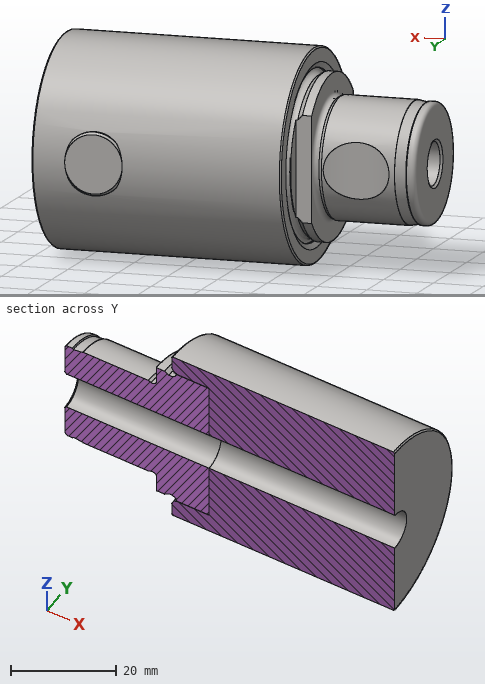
import cadquery as cq
import math

total_length = 74.0
through_hole_radius = 4.3
hole_chamfer = 0.45

housing_start = 24.0
housing_radius = 21.0
housing_edge_chamfer = 0.3
bore_mouth_widening = 1.1
bore_mouth_depth = 0.6
collar_radius = 16.9
collar_setback = 1.0
collar_length = 7.4

boss_x = 61.6
boss_radius = 6.2
boss_edge_chamfer = 0.45

tip_radius = 11.9
tip_fillet = 0.9
tip_land_end = 1.8
groove_radius = 11.7
groove_start = 2.0
groove_end = 2.2
taper_end = 4.15
taper_end_radius = 12.0
journal_radius = 12.05
journal_end = 18.8

relief_start = 19.4
relief_radius = 11.8
relief_fillet = 0.9

flange_start = 20.6
flange_radius = 16.35
flange_rim_end = 22.4
flange_cone_end = 23.4
neck_radius = 15.75
flat_end = 23.75
flat_distance = 12.6

scallop_x = 11.85
scallop_radius = 17.0
scallop_floor = 10.7

collar_start = housing_start + collar_setback
collar_end = collar_start + collar_length
neck_fillet = collar_radius - neck_radius

diagonal = math.sqrt(0.5)


def revolve_about_x(profile):
    """Close a profile of (X, radius) points and turn it about the X axis."""
    return profile.close().revolve(360, (0, 0, 0), (1, 0, 0))


def make_spindle_blank():
    relief_end = flange_start - relief_fillet
    profile = (
        cq.Workplane("XZ")
        .moveTo(0, through_hole_radius + hole_chamfer)
        .lineTo(0, tip_radius - tip_fillet)
        .threePointArc(
            (tip_fillet * (1 - diagonal), tip_radius - tip_fillet * (1 - diagonal)),
            (tip_fillet, tip_radius),
        )
        .lineTo(tip_land_end, tip_radius)
        .lineTo(groove_start, groove_radius)
        .lineTo(groove_end, groove_radius)
        .lineTo(taper_end, taper_end_radius)
        .lineTo(taper_end, journal_radius)
        .lineTo(journal_end, journal_radius)
        .lineTo(relief_start, relief_radius)
        .lineTo(relief_end, relief_radius)
        .threePointArc(
            (relief_end + relief_fillet * diagonal, relief_radius + relief_fillet * (1 - diagonal)),
            (flange_start, relief_radius + relief_fillet),
        )
        .lineTo(flange_start, flange_radius)
        .lineTo(flange_rim_end, flange_radius)
        .lineTo(flange_cone_end, neck_radius)
        .lineTo(collar_start - neck_fillet, neck_radius)
        .threePointArc(
            (collar_start - neck_fillet * (1 - diagonal), neck_radius + neck_fillet * (1 - diagonal)),
            (collar_start, collar_radius),
        )
        .lineTo(collar_end, collar_radius)
        .lineTo(collar_end, through_hole_radius)
        .lineTo(hole_chamfer, through_hole_radius)
    )
    return revolve_about_x(profile)


def make_flat_cutter(side):
    """Block that cuts one wrench flat; side is +1 or -1 along Y."""
    length = flat_end - flange_start
    depth = flange_radius - flat_distance
    return cq.Workplane("XY").box(length, depth, 2 * flange_radius).translate(
        (flange_start + length / 2, side * (flat_distance + depth / 2), 0)
    )


def make_scallop_cutter():
    """Cylinder parallel to Z that grazes the +Y side of the journal."""
    return (
        cq.Workplane("XY")
        .center(scallop_x, scallop_floor + scallop_radius)
        .circle(scallop_radius)
        .extrude(journal_radius, both=True)
    )


def make_spindle():
    spindle = make_spindle_blank()
    for side in (-1, 1):
        spindle = spindle.cut(make_flat_cutter(side))
    return spindle.cut(make_scallop_cutter())


def make_housing_shell():
    profile = (
        cq.Workplane("XZ")
        .moveTo(housing_start, collar_radius + bore_mouth_widening)
        .lineTo(housing_start, housing_radius - housing_edge_chamfer)
        .lineTo(housing_start + housing_edge_chamfer, housing_radius)
        .lineTo(total_length - housing_edge_chamfer, housing_radius)
        .lineTo(total_length, housing_radius - housing_edge_chamfer)
        .lineTo(total_length, through_hole_radius)
        .lineTo(collar_end, through_hole_radius)
        .lineTo(collar_end, collar_radius)
        .lineTo(housing_start + bore_mouth_depth, collar_radius)
    )
    return revolve_about_x(profile)


def make_boss():
    """Disc along +Y that starts inside the housing wall and ends at its widest point."""
    boss_start = collar_radius
    return (
        cq.Workplane("XZ", origin=(boss_x, boss_start, 0))
        .circle(boss_radius)
        .extrude(-(housing_radius - boss_start))
        .faces(">Y")
        .chamfer(boss_edge_chamfer)
    )


def make_housing():
    return make_housing_shell().union(make_boss())


spindle = make_spindle().solids().val()
housing = make_housing().solids().val()
result = cq.Compound.makeCompound([spindle, housing])